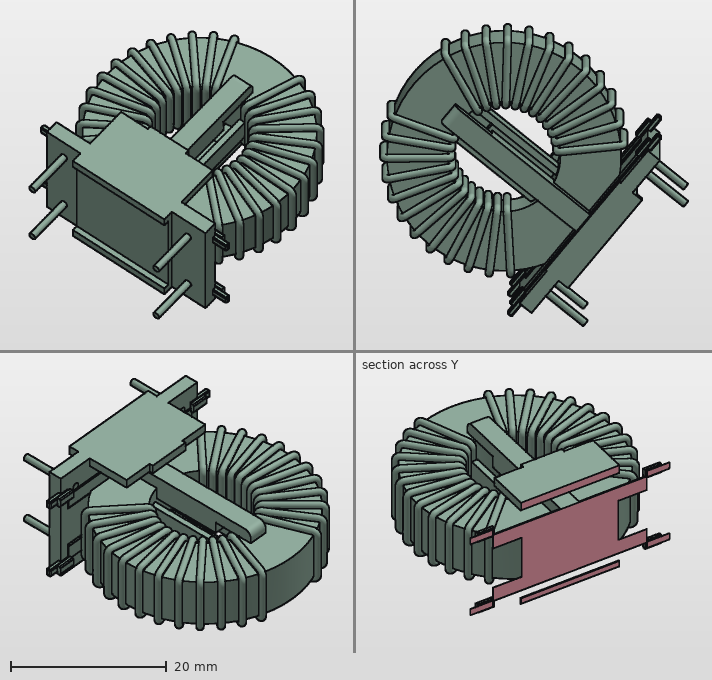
import cadquery as cq
import math


CORE_OUTER_RADIUS = 15.0
CORE_INNER_RADIUS = 7.23
CORE_HEIGHT = 7.0
CORE_MID_Z = -0.65
CORE_BOTTOM_Z = CORE_MID_Z - CORE_HEIGHT / 2

WIRE_DIAMETER = 1.0
WIRE_EMBED = 0.07
WIRE_BEND_RADIUS = 0.65
TURNS_PER_SIDE = 12
TURN_PITCH_ANGLE = 10.3
RIGHT_FIRST_ANGLE = 70.8
LEFT_FIRST_ANGLE = 111.4

HOLDER_HEIGHT = 16.3
HOLDER_TOP_Z = HOLDER_HEIGHT / 2
PLATE_WIDTH = 25.95
PLATE_BACK_Y = -13.2
PLATE_FRONT_Y = -15.2

BLOCK_WIDTH = 14.97
BLOCK_FRONT_Y = -15.95
LIP_FRONT_Y = -16.75
LIP_THICKNESS = 1.3

SHELF_BACK_Y = -6.8
TONGUE_BACK_Y = -6.25
TONGUE_WIDTH = 6.25

PAD_HEIGHT = 0.22
PAD_BACK_Y = PLATE_BACK_Y + PAD_HEIGHT
PAD_WIDTH = 23.4
PAD_INNER_OFFSET = 3.02
PAD_CHAMFER = 0.2
FOOT_HEIGHT = 0.95

ARM_HEIGHT = 1.85
ARM_WIDTH = 2.85
ARM_BACK_Y = 9.22
ARM_FILLET = 1.05
DIVIDER_BACK_Y = 3.15
DIVIDER_DEPTH = 1.75

RIB_HEIGHT = 3.1
RIB_BACK_Y = 5.9
RIB_SPANS_X = ((-2.9, -2.0), (1.85, 2.73))

STUB_END_X = 15.23
STUB_INNER_X = 11.7
STUB_WIDTH = 1.15
STUB_THICKNESS = 0.75
STUB_CHAMFER = 0.15
STUB_OFFSET_Z = 5.68
CAP_INNER_X = 11.47
CAP_OUTER_X = 13.95
CAP_WIDTH = 1.33
CAP_BACK_Y = -12.4
CAP_CHAMFER = 0.2

PIN_DIAMETER = 1.0
PIN_FRONT_Y = -21.8
PIN_SPACING_X = 20.3
PIN_SPACING_Z = 10.18


def box(x_range, y_range, z_range):
    """Box between the given limits, each pair in any order."""
    ranges = (x_range, y_range, z_range)
    sizes = [abs(b - a) for a, b in ranges]
    lows = [min(pair) for pair in ranges]
    return cq.Workplane("XY").box(*sizes, centered=False).translate(tuple(lows))


def centred_box(width, y_range, z_range):
    """Box that is symmetric about X = 0."""
    return box((-width / 2, width / 2), y_range, z_range)


def make_core():
    return (
        cq.Workplane("XY", origin=(0, 0, CORE_BOTTOM_Z))
        .circle(CORE_OUTER_RADIUS)
        .circle(CORE_INNER_RADIUS)
        .extrude(CORE_HEIGHT)
    )


def make_turn(angle):
    """One rounded rectangular loop of wire around the core's cross-section."""
    clearance = WIRE_DIAMETER / 2 - WIRE_EMBED
    inner = CORE_INNER_RADIUS - clearance
    outer = CORE_OUTER_RADIUS + clearance
    half_height = CORE_HEIGHT / 2 + clearance
    middle = (inner + outer) / 2
    bend = WIRE_BEND_RADIUS
    slant = bend * (1 - math.sqrt(0.5))
    path = (
        cq.Workplane("XZ")
        .moveTo(middle, half_height)
        .lineTo(outer - bend, half_height)
        .threePointArc((outer - slant, half_height - slant), (outer, half_height - bend))
        .lineTo(outer, bend - half_height)
        .threePointArc((outer - slant, slant - half_height), (outer - bend, -half_height))
        .lineTo(inner + bend, -half_height)
        .threePointArc((inner + slant, slant - half_height), (inner, bend - half_height))
        .lineTo(inner, half_height - bend)
        .threePointArc((inner + slant, half_height - slant), (inner + bend, half_height))
        .close()
    )
    turn = cq.Workplane("YZ", origin=(middle, 0, half_height)).circle(WIRE_DIAMETER / 2).sweep(path)
    return turn.translate((0, 0, CORE_MID_Z)).rotate((0, 0, 0), (0, 0, 1), angle)


def make_winding():
    """All turns: the right half runs clockwise, the left half counter-clockwise."""
    turns = []
    for i in range(TURNS_PER_SIDE):
        turns.append(make_turn(RIGHT_FIRST_ANGLE - i * TURN_PITCH_ANGLE))
        turns.append(make_turn(LEFT_FIRST_ANGLE + i * TURN_PITCH_ANGLE))
    return turns


def make_base():
    """Plate with its thicker middle block, lips, label shelf and foot."""
    full_height = (-HOLDER_TOP_Z, HOLDER_TOP_Z)
    top_lip = (HOLDER_TOP_Z - LIP_THICKNESS, HOLDER_TOP_Z)
    bottom_lip = (-HOLDER_TOP_Z, LIP_THICKNESS - HOLDER_TOP_Z)
    foot = (-HOLDER_TOP_Z, FOOT_HEIGHT - HOLDER_TOP_Z)
    return (
        centred_box(PLATE_WIDTH, (PLATE_FRONT_Y, PLATE_BACK_Y), full_height)
        .union(centred_box(BLOCK_WIDTH, (BLOCK_FRONT_Y, PLATE_BACK_Y), full_height))
        .union(centred_box(BLOCK_WIDTH, (LIP_FRONT_Y, SHELF_BACK_Y), top_lip))
        .union(centred_box(TONGUE_WIDTH, (PLATE_BACK_Y, TONGUE_BACK_Y), top_lip))
        .union(centred_box(BLOCK_WIDTH, (LIP_FRONT_Y, PLATE_BACK_Y), bottom_lip))
        .union(centred_box(BLOCK_WIDTH, (PLATE_BACK_Y, PAD_BACK_Y), foot))
    )


def make_pad(side):
    """Raised strip beside the core, chamfered on its core edge; side is +1 above, -1 below."""
    inner_z = CORE_MID_Z + side * PAD_INNER_OFFSET
    outer_z = CORE_MID_Z + side * (CORE_HEIGHT / 2 + ARM_HEIGHT)
    pad = centred_box(PAD_WIDTH, (PLATE_BACK_Y, PAD_BACK_Y), (inner_z, outer_z))
    core_edge = ">Y and <Z" if side > 0 else ">Y and >Z"
    return pad.edges(core_edge).chamfer(PAD_CHAMFER)


def make_arm(side):
    """Bar along one flat face of the core with its divider; side is +1 above, -1 below."""
    core_z = CORE_MID_Z + side * CORE_HEIGHT / 2
    outer_z = core_z + side * ARM_HEIGHT
    bar = centred_box(ARM_WIDTH, (PLATE_BACK_Y, ARM_BACK_Y), (core_z, outer_z))
    bar = bar.edges(">Y and >Z" if side > 0 else ">Y and <Z").fillet(ARM_FILLET)
    divider_z = (core_z - side * DIVIDER_DEPTH, core_z)
    return bar.union(centred_box(ARM_WIDTH, (PLATE_BACK_Y, DIVIDER_BACK_Y), divider_z))


def make_rib(x_span):
    """Straight rib from the base plate into the core's hole."""
    z_span = (CORE_MID_Z - RIB_HEIGHT / 2, CORE_MID_Z + RIB_HEIGHT / 2)
    return box(x_span, (PLATE_BACK_Y, RIB_BACK_Y), z_span)


def make_stub(side_x, side_z):
    """Flat lead stub that sticks out of the plate's side, with a cap on its back face."""
    centre_z = CORE_MID_Z + side_z * STUB_OFFSET_Z
    stub = box(
        (side_x * STUB_INNER_X, side_x * STUB_END_X),
        (PAD_BACK_Y - STUB_THICKNESS, PAD_BACK_Y),
        (centre_z - STUB_WIDTH / 2, centre_z + STUB_WIDTH / 2),
    )
    stub = stub.edges("|X").chamfer(STUB_CHAMFER)
    stub = stub.faces(">X" if side_x > 0 else "<X").chamfer(STUB_CHAMFER)
    cap = box(
        (side_x * CAP_INNER_X, side_x * CAP_OUTER_X),
        (PAD_BACK_Y, CAP_BACK_Y),
        (centre_z - CAP_WIDTH / 2, centre_z + CAP_WIDTH / 2),
    )
    cap = cap.faces(">Y").edges("|X").chamfer(CAP_CHAMFER)
    return stub.union(cap)


def make_pins():
    """Four round pins that run through the plate and stand out of its front."""
    return (
        cq.Workplane("XZ", origin=(0, PLATE_BACK_Y, 0))
        .rarray(PIN_SPACING_X, PIN_SPACING_Z, 2, 2)
        .circle(PIN_DIAMETER / 2)
        .extrude(PLATE_BACK_Y - PIN_FRONT_Y)
    )


pins = make_pins()

wound_core = make_core()
for turn in make_winding():
    wound_core = wound_core.union(turn)

holder = make_base()
for x_span in RIB_SPANS_X:
    holder = holder.union(make_rib(x_span))
for side_z in (1, -1):
    holder = holder.union(make_arm(side_z)).union(make_pad(side_z))
    for side_x in (1, -1):
        holder = holder.union(make_stub(side_x, side_z))

choke = holder.union(wound_core).cut(pins)

result = cq.Compound.makeCompound([choke.val(), *pins.vals()])